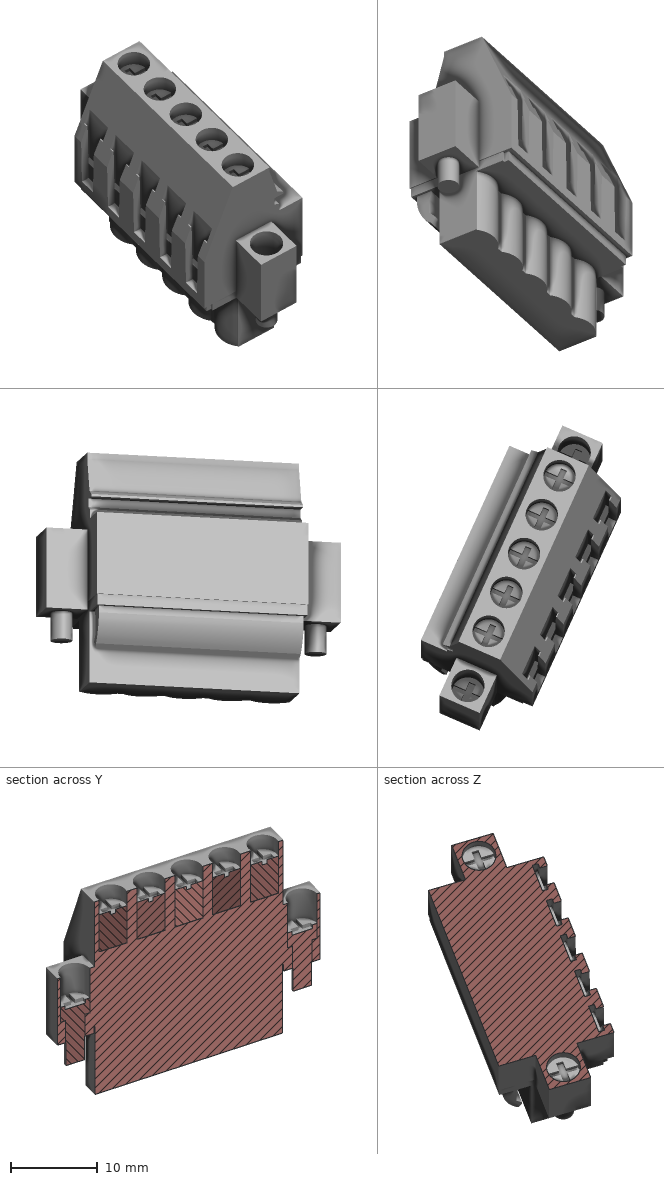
import cadquery as cq


TERMINALS = 5
PITCH = 5.0

TOTAL_LENGTH = 34.8
BODY_LENGTH = TERMINALS * PITCH
BODY_DEPTH = 14.05
TOP_Z = 27.2
BODY_BOTTOM_Z = 9.6
SLOPE_BOTTOM_Z = 17.25
TOP_FRONT_Y = 4.07
TOP_BACK_Y = 9.33

BACK_SLOPE_TOP_Z = 26.5
LIP_ROOT_Y = 10.45
LIP_ROOT_Z = 22.48
LIP_TIP_Y = 11.3
LIP_TIP_Z = 21.92
LIP_BOTTOM_Z = 21.65
GROOVE_FLOOR_Y = 10.02
GROOVE_FLOOR_BOTTOM_Z = 20.65
STEP_WALL_Y = 10.75
STEP_WALL_TOP_Z = 20.22
STEP_Z = 19.2

SKIRT_BOTTOM_Z = 8.35
SKIRT_LENGTH = 24.85
SKIRT_FRONT_Y = 0.63
SKIRT_BACK_Y = 13.92
SKIRT_NOTCH_X = 0.3
SKIRT_NOTCH_Y = 0.63

PLUG_BACK_Y = 10.02
PLUG_FLAT_Y = 4.9
LUG_PITCH = 5.05
LUG_CHORD = 4.4
LUG_BULGE = 0.87

LATCH_LENGTH = SKIRT_LENGTH - 2 * SKIRT_NOTCH_X
LATCH_BACK_Y = 13.35
LATCH_CURVE_TOP_Z = 7.55
LATCH_CURVE_MIDDLE = (12.88, 5.67)
LATCH_CURVE_END = (11.9, 4.2)
LATCH_TIP_BOTTOM = (11.45, 3.85)
LATCH_TIP_Y = 11.03
LATCH_TIP_LOW_Z = 4.42
LATCH_TIP_HIGH_Z = 4.75
LATCH_ARM_Y = 11.7
LATCH_ARM_BOTTOM_Z = 5.4
LATCH_ARM_TOP_Z = 7.25
LATCH_ROOT_Y = 11.38
LATCH_ROOT_Z = 8.0

SLOT_BOTTOM_Z = 10.85
SLOT_STEP_Z = 13.25
SLOT_SHOULDER_Z = 19.35
SLOT_TOP_Z = 21.23
SLOT_HEAD_WIDTH = 3.6
SLOT_SHOULDER_WIDTH = 2.55
SLOT_BOTTOM_WIDTH = 2.12
SLOT_LIP_DEPTH = 0.97
SLOT_FLOOR_DEPTH = TOP_FRONT_Y * (SLOT_TOP_Z - SLOPE_BOTTOM_Z) / (TOP_Z - SLOPE_BOTTOM_Z)

FLANGE_BOTTOM_Z = 8.65
FLANGE_TOP_Z = 18.1
FLANGE_CENTER_Y = BODY_DEPTH / 2
FLANGE_WIDTH = 5.08
FLANGE_LENGTH = (TOTAL_LENGTH - BODY_LENGTH) / 2

DRIVE_DEPTH = 0.52
DRIVE_SLOT_WIDTH = 0.55
TERMINAL_SCREW_Y = 6.65
TERMINAL_SCREW_DIAMETER = 3.72
TERMINAL_SCREW_TOP_Z = 25.2
TERMINAL_SCREW_LENGTH = 5.22
TERMINAL_CROSS_LENGTH = 2.58
TERMINAL_CROSS_WIDTH = 0.73
FLANGE_SCREW_X = 15.05
FLANGE_SCREW_Y = FLANGE_CENTER_Y
FLANGE_HEAD_DIAMETER = 3.83
FLANGE_HEAD_TOP_Z = 13.92
FLANGE_HEAD_HEIGHT = 2.1
FLANGE_SHANK_DIAMETER = 2.5
FLANGE_SHANK_BOTTOM_Z = 5.4
FLANGE_CROSS_LENGTH = 2.65
FLANGE_CROSS_WIDTH = 0.85


def row_positions(pitch):
    """X positions of one terminal row with the given pitch, centred on X = 0."""
    return [(i - (TERMINALS - 1) / 2) * pitch for i in range(TERMINALS)]


def block(x_range, y_range, z_range):
    """Axis-aligned box between the given limits."""
    size = [high - low for low, high in (x_range, y_range, z_range)]
    corner = (x_range[0], y_range[0], z_range[0])
    return cq.Workplane("XY", origin=corner).box(*size, centered=False)


def cylinder(x, y, diameter, bottom_z, top_z):
    """Upright cylinder."""
    return cq.Workplane("XY", origin=(x, y, bottom_z)).circle(diameter / 2).extrude(top_z - bottom_z)


def extrude_along_x(profile, length):
    """Extrude a closed YZ profile symmetrically about X = 0."""
    return profile.extrude(length / 2, both=True)


def housing_body():
    """Main body: sloped front, stepped back with a small overhanging lip."""
    profile = (
        cq.Workplane("YZ")
        .moveTo(0, BODY_BOTTOM_Z)
        .lineTo(0, SLOPE_BOTTOM_Z)
        .lineTo(TOP_FRONT_Y, TOP_Z)
        .lineTo(TOP_BACK_Y, TOP_Z)
        .lineTo(TOP_BACK_Y, BACK_SLOPE_TOP_Z)
        .lineTo(LIP_ROOT_Y, LIP_ROOT_Z)
        .lineTo(LIP_TIP_Y, LIP_TIP_Z)
        .lineTo(LIP_TIP_Y, LIP_BOTTOM_Z)
        .lineTo(GROOVE_FLOOR_Y, LIP_BOTTOM_Z)
        .lineTo(GROOVE_FLOOR_Y, GROOVE_FLOOR_BOTTOM_Z)
        .lineTo(STEP_WALL_Y, STEP_WALL_TOP_Z)
        .lineTo(STEP_WALL_Y, STEP_Z)
        .lineTo(BODY_DEPTH, STEP_Z)
        .lineTo(BODY_DEPTH, BODY_BOTTOM_Z)
        .close()
    )
    return extrude_along_x(profile, BODY_LENGTH)


def skirt():
    """Plate under the body with its two front corners notched."""
    half = SKIRT_LENGTH / 2
    notch_x = half - SKIRT_NOTCH_X
    notch_y = SKIRT_FRONT_Y + SKIRT_NOTCH_Y
    main = block((-half, half), (notch_y, SKIRT_BACK_Y), (SKIRT_BOTTOM_Z, BODY_BOTTOM_Z))
    front = block((-notch_x, notch_x), (SKIRT_FRONT_Y, notch_y), (SKIRT_BOTTOM_Z, BODY_BOTTOM_Z))
    return main.union(front)


def plug():
    """Plug below the skirt: a slab with a shallow rounded lug for each terminal."""
    half = SKIRT_LENGTH / 2
    slab = block((-half, half), (PLUG_FLAT_Y, PLUG_BACK_Y), (0, SKIRT_BOTTOM_Z))
    for x in row_positions(LUG_PITCH):
        lug = (
            cq.Workplane("XY")
            .moveTo(x - LUG_CHORD / 2, PLUG_FLAT_Y)
            .threePointArc((x, PLUG_FLAT_Y - LUG_BULGE), (x + LUG_CHORD / 2, PLUG_FLAT_Y))
            .close()
            .extrude(SKIRT_BOTTOM_Z)
        )
        slab = slab.union(lug)
    return slab


def latch():
    """Curved latch hanging from the skirt behind the plug."""
    profile = (
        cq.Workplane("YZ")
        .moveTo(LATCH_ROOT_Y, SKIRT_BOTTOM_Z)
        .lineTo(LATCH_BACK_Y, SKIRT_BOTTOM_Z)
        .lineTo(LATCH_BACK_Y, LATCH_CURVE_TOP_Z)
        .threePointArc(LATCH_CURVE_MIDDLE, LATCH_CURVE_END)
        .lineTo(*LATCH_TIP_BOTTOM)
        .lineTo(LATCH_TIP_Y, LATCH_TIP_LOW_Z)
        .lineTo(LATCH_TIP_Y, LATCH_TIP_HIGH_Z)
        .lineTo(LATCH_ARM_Y, LATCH_ARM_BOTTOM_Z)
        .lineTo(LATCH_ARM_Y, LATCH_ARM_TOP_Z)
        .lineTo(LATCH_ROOT_Y, LATCH_ROOT_Z)
        .close()
    )
    return extrude_along_x(profile, LATCH_LENGTH)


def wire_slot(x):
    """Cutter for one wire slot: a tapered opening with a wide head, and a wide channel behind its lips."""
    head = SLOT_HEAD_WIDTH / 2
    shoulder = SLOT_SHOULDER_WIDTH / 2
    bottom = SLOT_BOTTOM_WIDTH / 2
    outline = [
        (x - bottom, SLOT_BOTTOM_Z),
        (x + bottom, SLOT_BOTTOM_Z),
        (x + shoulder, SLOT_SHOULDER_Z),
        (x + head, SLOT_SHOULDER_Z),
        (x + head, SLOT_TOP_Z),
        (x - head, SLOT_TOP_Z),
        (x - head, SLOT_SHOULDER_Z),
        (x - shoulder, SLOT_SHOULDER_Z),
    ]
    opening = cq.Workplane("XZ").polyline(outline).close().extrude(-SLOT_LIP_DEPTH)
    channel = block(
        (x - head, x + head),
        (SLOT_LIP_DEPTH, SLOT_FLOOR_DEPTH),
        (SLOT_STEP_Z, SLOT_TOP_Z),
    )
    return opening.union(channel)


def terminal_screw_blank(x, top_z):
    """Plain cylinder of a terminal screw, carried up to the given height."""
    bottom_z = TERMINAL_SCREW_TOP_Z - TERMINAL_SCREW_LENGTH
    return cylinder(x, TERMINAL_SCREW_Y, TERMINAL_SCREW_DIAMETER, bottom_z, top_z)


def flange_screw_blank(x, top_z):
    """Head and shank of a flange screw, with the head carried up to the given height."""
    head_bottom_z = FLANGE_HEAD_TOP_Z - FLANGE_HEAD_HEIGHT
    head = cylinder(x, FLANGE_SCREW_Y, FLANGE_HEAD_DIAMETER, head_bottom_z, top_z)
    shank = cylinder(x, FLANGE_SCREW_Y, FLANGE_SHANK_DIAMETER, FLANGE_SHANK_BOTTOM_Z, head_bottom_z)
    return head.union(shank)


def cross_recess(x, y, top_z, slot_length, cross_length, cross_width):
    """Cutter for a screw drive: a slot along Y crossed by a shorter, wider one along X."""
    z_range = (top_z - DRIVE_DEPTH, top_z)
    slot = block(
        (x - DRIVE_SLOT_WIDTH / 2, x + DRIVE_SLOT_WIDTH / 2),
        (y - slot_length / 2, y + slot_length / 2),
        z_range,
    )
    cross = block(
        (x - cross_length / 2, x + cross_length / 2),
        (y - cross_width / 2, y + cross_width / 2),
        z_range,
    )
    return slot.union(cross)


def terminal_screw(x):
    """Terminal screw with its cross drive."""
    drive = cross_recess(
        x,
        TERMINAL_SCREW_Y,
        TERMINAL_SCREW_TOP_Z,
        TERMINAL_SCREW_DIAMETER,
        TERMINAL_CROSS_LENGTH,
        TERMINAL_CROSS_WIDTH,
    )
    return terminal_screw_blank(x, TERMINAL_SCREW_TOP_Z).cut(drive)


def flange_screw(x):
    """Flange screw with its cross drive."""
    drive = cross_recess(
        x,
        FLANGE_SCREW_Y,
        FLANGE_HEAD_TOP_Z,
        FLANGE_HEAD_DIAMETER,
        FLANGE_CROSS_LENGTH,
        FLANGE_CROSS_WIDTH,
    )
    return flange_screw_blank(x, FLANGE_HEAD_TOP_Z).cut(drive)


def flange(side):
    """Block at one end of the body; side is -1 or 1."""
    inner_x = side * BODY_LENGTH / 2
    outer_x = inner_x + side * FLANGE_LENGTH
    return block(
        sorted((inner_x, outer_x)),
        (FLANGE_CENTER_Y - FLANGE_WIDTH / 2, FLANGE_CENTER_Y + FLANGE_WIDTH / 2),
        (FLANGE_BOTTOM_Z, FLANGE_TOP_Z),
    )


def make_housing():
    """Housing with flanges, wire slots and screw holes."""
    shape = housing_body().union(skirt()).union(plug()).union(latch())
    for side in (-1, 1):
        shape = shape.union(flange(side))
        shape = shape.cut(flange_screw_blank(side * FLANGE_SCREW_X, FLANGE_TOP_Z))
    for x in row_positions(PITCH):
        shape = shape.cut(wire_slot(x))
        shape = shape.cut(terminal_screw_blank(x, TOP_Z))
    return shape


housing = make_housing()
terminal_screws = [terminal_screw(x) for x in row_positions(PITCH)]
flange_screws = [flange_screw(side * FLANGE_SCREW_X) for side in (-1, 1)]

result = cq.Compound.makeCompound(
    [housing.val()]
    + [screw.val() for screw in terminal_screws]
    + [screw.val() for screw in flange_screws]
)